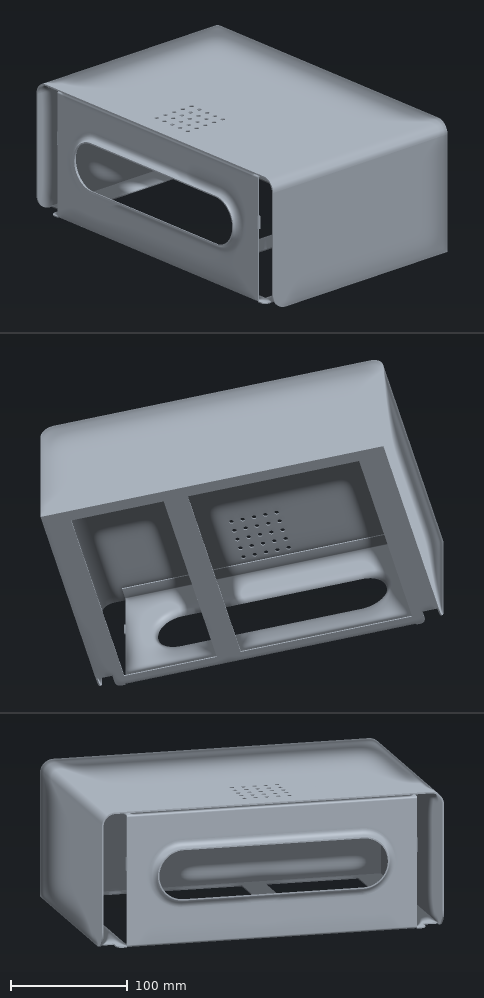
import cadquery as cq
COVER_SHEET = 1.35
BASE_SHEET = 1.05

WIDTH = 303.2
DEPTH = 200.0
HEIGHT = 120.5
COVER_BEND = 11.8
SIDE_CORNER = 15.0
FRONT_Y = -DEPTH / 2
BACK_Y = DEPTH / 2

VENT_COUNT = 5
VENT_PITCH = 10.0
VENT_DIAMETER = 4.0
VENT_SETBACK = 40.0

PANEL_WIDTH = 257.0
PANEL_RECESS = 3.3
PANEL_TOP_GAP = 2.5
PANEL_FRONT = FRONT_Y + PANEL_RECESS
PANEL_BACK = PANEL_FRONT + BASE_SHEET
PANEL_TOP = HEIGHT - COVER_SHEET - PANEL_TOP_GAP
INNER_BEND = 1.0
OUTER_BEND = INNER_BEND + BASE_SHEET
BEND_END = PANEL_FRONT + OUTER_BEND
FLANGE_DEPTH = 12.0

TAB_HEIGHT = 12.0
TAB_Z = 73.5
TAB_OVERHANG = 0.75
TAB_OUTSIDE = PANEL_WIDTH / 2 + TAB_OVERHANG

OPENING_LENGTH = 159.5
OPENING_Z = 62.2
LIP_OVERHANG = 1.8
LIP_FRONT = FRONT_Y - LIP_OVERHANG
LIP_RISE = PANEL_FRONT - LIP_FRONT
LIP_RUN = 6.7
LIP_INNER = 21.5
LIP_OUTER = 22.7
FLARE = LIP_OUTER + LIP_RUN

FLOOR_WIDTH = WIDTH - 2 * COVER_SHEET
FLOOR_BACK = BACK_Y - COVER_SHEET
NOSE_WIDTH = 274.0
NOSE_CORNER = 5.0
NOTCH_DEPTH = 15.8
WINDOW_SPAN = 254.7
FLOOR_BAR = 21.2
MIDDLE_BAR_X = 35.0
FRONT_BAR = 7.5
BACK_BAR = 9.0


def cover_block(inset, front, back):
    """Block with rounded upper long edges, set in from the cover's outside by inset."""
    top = HEIGHT - inset
    return (
        cq.Workplane("XY")
        .box(WIDTH - 2 * inset, back - front, top, centered=(True, False, False))
        .translate((0, front, 0))
        .edges("|Y and >Z")
        .fillet(COVER_BEND - inset)
    )


def make_cover():
    """Top, two sides and back, open at the front and below."""
    cavity = cover_block(COVER_SHEET, FRONT_Y, FLOOR_BACK)
    cover = cover_block(0, FRONT_Y, BACK_Y).cut(cavity)
    cover = cover.edges("|X and <Y and <Z").fillet(SIDE_CORNER)
    vents = (
        cq.Workplane("XY")
        .workplane(offset=HEIGHT - COVER_SHEET)
        .center(0, FRONT_Y + VENT_SETBACK)
        .rarray(VENT_PITCH, VENT_PITCH, VENT_COUNT, VENT_COUNT)
        .circle(VENT_DIAMETER / 2)
        .extrude(COVER_SHEET)
    )
    return cover.cut(vents)


def floor_strip(width, front, back, center_x=0.0):
    """Rectangle of floor sheet between two Y positions."""
    return (
        cq.Workplane("XY")
        .box(width, back - front, BASE_SHEET, centered=(True, False, False))
        .translate((center_x, front, 0))
    )


def floor_window(left, right):
    """Cutter for a floor opening between two X positions."""
    return floor_strip(right - left, BEND_END + FRONT_BAR, FLOOR_BACK - BACK_BAR, (left + right) / 2)


def make_floor():
    """Floor plate with a narrower rounded nose in front and two windows."""
    plate_front = FRONT_Y + NOTCH_DEPTH
    plate = floor_strip(FLOOR_WIDTH, plate_front, FLOOR_BACK)
    nose = floor_strip(NOSE_WIDTH, PANEL_FRONT, plate_front).edges("|Z and <Y").fillet(NOSE_CORNER)
    bend_space = floor_strip(PANEL_WIDTH, PANEL_FRONT, BEND_END)
    floor = plate.union(nose).cut(bend_space)
    half_span = WINDOW_SPAN / 2
    half_bar = FLOOR_BAR / 2
    floor = floor.cut(floor_window(-half_span, MIDDLE_BAR_X - half_bar))
    return floor.cut(floor_window(MIDDLE_BAR_X + half_bar, half_span))


def make_panel():
    """Front panel that bends into the floor below and into a flange above."""
    flange_end = PANEL_FRONT + FLANGE_DEPTH
    section = (
        cq.Workplane("YZ", origin=(-PANEL_WIDTH / 2, 0, 0))
        .moveTo(BEND_END, 0)
        .radiusArc((PANEL_FRONT, OUTER_BEND), OUTER_BEND)
        .lineTo(PANEL_FRONT, PANEL_TOP - OUTER_BEND)
        .radiusArc((BEND_END, PANEL_TOP), OUTER_BEND)
        .lineTo(flange_end, PANEL_TOP)
        .lineTo(flange_end, PANEL_TOP - BASE_SHEET)
        .lineTo(BEND_END, PANEL_TOP - BASE_SHEET)
        .radiusArc((PANEL_BACK, PANEL_TOP - OUTER_BEND), -INNER_BEND)
        .lineTo(PANEL_BACK, OUTER_BEND)
        .radiusArc((BEND_END, BASE_SHEET), -INNER_BEND)
        .close()
    )
    return section.extrude(PANEL_WIDTH)


def make_tab_relief():
    """Cutter for the strip of the panel's +X edge that the tab's bend replaces."""
    return (
        cq.Workplane("XY")
        .box(OUTER_BEND, BASE_SHEET, TAB_HEIGHT, centered=(False, False, True))
        .translate((TAB_OUTSIDE - OUTER_BEND, PANEL_FRONT, TAB_Z))
    )


def make_tab():
    """Quarter bend that turns the panel's +X edge backward."""
    inside = TAB_OUTSIDE - BASE_SHEET
    bend_start = TAB_OUTSIDE - OUTER_BEND
    return (
        cq.Workplane("XY", origin=(0, 0, TAB_Z - TAB_HEIGHT / 2))
        .moveTo(bend_start, PANEL_FRONT)
        .radiusArc((TAB_OUTSIDE, BEND_END), -OUTER_BEND)
        .lineTo(inside, BEND_END)
        .radiusArc((bend_start, PANEL_BACK), INNER_BEND)
        .close()
        .extrude(TAB_HEIGHT)
    )


def flare_radius(rise, run):
    """Radius of the arc that leaves the panel tangentially and climbs by rise over run."""
    return (rise**2 + run**2) / (2 * rise)


def lip_section(x):
    """Quarter-ring section of the lip, above the opening's centre line, in the plane at x."""
    return (
        cq.Workplane("YZ", origin=(x, 0, OPENING_Z))
        .moveTo(PANEL_FRONT, FLARE)
        .radiusArc((LIP_FRONT, LIP_OUTER), flare_radius(LIP_RISE, LIP_RUN))
        .lineTo(LIP_FRONT, LIP_INNER)
        .radiusArc((PANEL_BACK, FLARE), -flare_radius(LIP_RISE + BASE_SHEET, FLARE - LIP_INNER))
        .close()
    )


def make_lip():
    """Lip that curves forward from the panel all around the opening."""
    half_length = OPENING_LENGTH / 2
    upper = lip_section(-half_length).extrude(OPENING_LENGTH)
    lower = upper.rotate((0, 0, OPENING_Z), (0, 1, OPENING_Z), 180)
    right_end = lip_section(half_length).revolve(180, (0, 0, 0), (1, 0, 0))
    left_end = right_end.mirror("YZ")
    return upper.union(lower).union(right_end).union(left_end)


def make_base():
    """Floor and front panel with its lip and side tabs, bent from one sheet."""
    opening = (
        cq.Workplane("XZ", origin=(0, PANEL_BACK, OPENING_Z))
        .slot2D(OPENING_LENGTH + 2 * FLARE, 2 * FLARE)
        .extrude(BASE_SHEET)
    )
    base = make_floor().union(make_panel().cut(opening)).union(make_lip())
    right_relief = make_tab_relief()
    right_tab = make_tab()
    base = base.cut(right_relief).cut(right_relief.mirror("YZ"))
    return base.union(right_tab).union(right_tab.mirror("YZ"))


cover = make_cover()
base = make_base()
result = cq.Compound.makeCompound([cover.val(), base.val()])